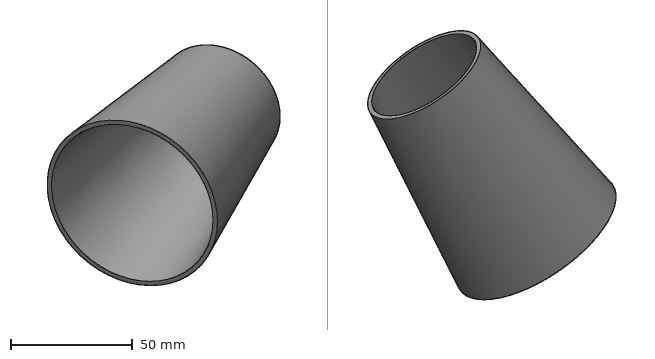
import cadquery as cq

length = 90.0
wide_outer_diameter = 76.1
narrow_outer_diameter = 54.0
wall = 2.0

wide_outer_radius = wide_outer_diameter / 2
narrow_outer_radius = narrow_outer_diameter / 2

wall_section = (
    cq.Workplane("XY")
    .moveTo(wide_outer_radius - wall, 0)
    .lineTo(wide_outer_radius, 0)
    .lineTo(narrow_outer_radius, length)
    .lineTo(narrow_outer_radius - wall, length)
    .close()
)

axis_start = (0, 0, 0)
axis_end = (0, 1, 0)
result = wall_section.revolve(360, axis_start, axis_end)